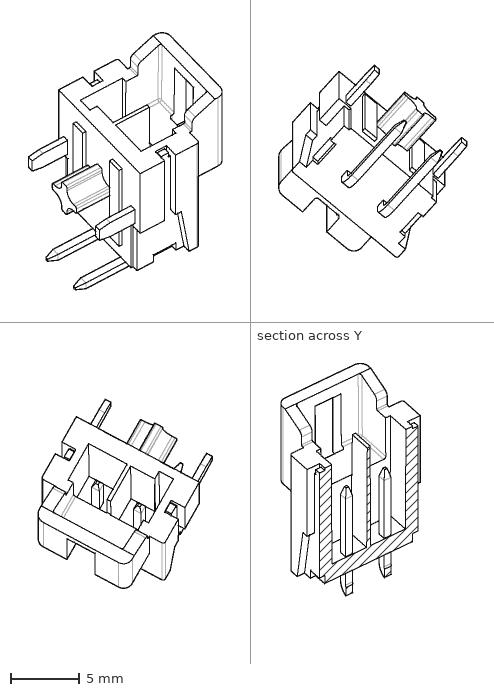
import cadquery as cq
import math

OVERALL_DEPTH = 12.16
OVERALL_HEIGHT = 15.63

BODY_WIDTH = 10.3
BODY_DEPTH = 5.35
BODY_HEIGHT = 11.2
BODY_BACK_FILLET = 0.2

CAVITY_HALF_WIDTH = 3.37
CAVITY_FRONT = 1.36
CAVITY_BACK = 4.49
CAVITY_FLOOR = 1.6
CAVITY_DRAFT_ANGLE = 0.3
DIVIDER_THICKNESS = 0.3
DIVIDER_BACK = 4.41
KEY_WIDTH = 1.2
KEY_FRONT = 0.7

HOOD_BACK = 8.66
HOOD_BOTTOM = 5.93
HOOD_TOP = 13.35
HOOD_HALF_WIDTH = 3.9
HOOD_SIDE_WALL = 0.96
HOOD_BACK_WALL = 1.02
HOOD_CORNER_RADIUS = 0.75
HOOD_INNER_FILLET = 0.19
HOOD_FLOOR = 7.3
HOOD_BACK_DRAFT = 0.07
ARM_FRONT = 5.59
ARM_SHOULDER = 12.39
ARM_FILLET = 0.5
ARM_BASE_FILLET = 0.11
WINDOW_HALF_WIDTH = 1.17
WINDOW_TOP = 12.24
WINDOW_FRONT = 7.12
WINDOW_FILLET = 0.25

CLIP_INNER_X = 4.0
CLIP_THICKNESS = 0.49
GROOVE_FRONT = 2.2
GROOVE_BACK = 3.2
POCKET_TOP = 4.74
POCKET_BACK_TOP = 3.72
POCKET_BACK_BOTTOM = 4.42
CLIP_FRONT = 0.18
CLIP_SHOULDER = 10.5
CLIP_TOP = 10.97
CLIP_TIP_WIDTH = 0.68
CLIP_NOTCH_FRONT = 1.68
CLIP_NOTCH_BACK = 3.7
CLIP_NOTCH_HEIGHT = 0.77
LEG_REACH = 3.2
LEG_TAPER_LENGTH = 0.96
LEG_HEIGHT = 1.5
LEG_TIP_HEIGHT = 1.12

POST_Z = 5.975
POST_REACH = 3.16
POST_RADIUS = 1.53
POST_ARM_HALF_WIDTH = 0.35
POST_FLUTE_CENTER = 1.14
POST_TIP_FILLET = 0.15
RIB_X = 2.29
RIB_WIDTH = 1.2
RIB_BOTTOM = 1.53
RIB_TOP = 9.73
RIB_THICKNESS = 0.29

PIN_X = 1.75
PIN_Y = 2.94
PIN_SIZE = 0.64
PIN_TIP_SIZE = 0.22
PIN_TAPER = 0.8
PIN_TOP = 8.0
PIN_BOTTOM = HOOD_TOP - OVERALL_HEIGHT
PIN_REACH = OVERALL_DEPTH - HOOD_BACK
PIN_BEND_RADIUS = 0.82

SIDES = (-1, 1)


def block(x_range, y_range, z_range):
    """Axis-aligned box spanning the given (low, high) ranges."""
    ranges = (x_range, y_range, z_range)
    size = [high - low for low, high in ranges]
    corner = tuple(low for low, high in ranges)
    return cq.Workplane("XY").box(*size, centered=False).translate(corner)


def side_plate(outline, x_low, x_high):
    """Plate between two X positions with a closed (y, z) outline."""
    profile = cq.Workplane("YZ", origin=(x_low, 0, 0)).polyline(outline).close()
    return profile.extrude(x_high - x_low)


def on_both_sides(solid):
    """The solid together with its mirror image across the X = 0 plane."""
    return solid.union(solid.mirror("YZ"))


def make_body():
    half = BODY_WIDTH / 2
    body = block((-half, half), (0, BODY_DEPTH), (0, BODY_HEIGHT))
    return body.edges("|Z and >Y").fillet(BODY_BACK_FILLET)


def make_hood():
    hood = block(
        (-HOOD_HALF_WIDTH, HOOD_HALF_WIDTH),
        (CAVITY_BACK, HOOD_BACK),
        (HOOD_BOTTOM, HOOD_TOP),
    )
    hood = hood.edges("|Z and >Y").fillet(HOOD_CORNER_RADIUS)

    arm_trim = side_plate(
        [
            (CAVITY_FRONT, BODY_HEIGHT),
            (ARM_FRONT, BODY_HEIGHT),
            (ARM_FRONT, ARM_SHOULDER),
            (HOOD_BACK - HOOD_BACK_WALL, HOOD_TOP),
            (CAVITY_FRONT, HOOD_TOP),
        ],
        -HOOD_HALF_WIDTH,
        HOOD_HALF_WIDTH,
    )
    shoulder = cq.selectors.NearestToPointSelector((0, ARM_FRONT, ARM_SHOULDER))
    base = cq.selectors.NearestToPointSelector((0, ARM_FRONT, BODY_HEIGHT))
    arm_trim = arm_trim.edges(shoulder).fillet(ARM_FILLET).edges(base).fillet(ARM_BASE_FILLET)
    return hood.cut(arm_trim)


def make_hood_opening():
    """Open-topped space between the arms, running forward into the contact cavity."""
    half = HOOD_HALF_WIDTH - HOOD_SIDE_WALL
    back = HOOD_BACK - HOOD_BACK_WALL
    opening = side_plate(
        [
            (DIVIDER_BACK, HOOD_FLOOR),
            (back - HOOD_BACK_DRAFT, HOOD_FLOOR),
            (back, HOOD_TOP),
            (DIVIDER_BACK, HOOD_TOP),
        ],
        -half,
        half,
    )
    back_and_floor_edges = opening.faces("<Z").edges("not <Y").add(opening.faces(">Y").edges("not |X"))
    return back_and_floor_edges.fillet(HOOD_INNER_FILLET)


def make_window():
    window = block(
        (-WINDOW_HALF_WIDTH, WINDOW_HALF_WIDTH),
        (WINDOW_FRONT, HOOD_BACK),
        (HOOD_BOTTOM, WINDOW_TOP),
    )
    return window.edges("|Z and <Y").fillet(WINDOW_FILLET)


def sink_pocket(outline):
    """Drafted cutter sunk from the top of the block to the cavity floor."""
    profile = cq.Workplane("XY", origin=(0, 0, BODY_HEIGHT)).polyline(outline).close()
    return profile.extrude(CAVITY_FLOOR - BODY_HEIGHT, taper=CAVITY_DRAFT_ANGLE)


def make_cavity():
    inner = DIVIDER_THICKNESS / 2
    outer = CAVITY_HALF_WIDTH
    key_inner = outer - KEY_WIDTH
    plain_half = sink_pocket(
        [(inner, CAVITY_FRONT), (outer, CAVITY_FRONT), (outer, CAVITY_BACK), (inner, CAVITY_BACK)]
    )
    keyed_half = sink_pocket(
        [
            (-inner, CAVITY_FRONT),
            (-inner, CAVITY_BACK),
            (-outer, CAVITY_BACK),
            (-outer, KEY_FRONT),
            (-key_inner, KEY_FRONT),
            (-key_inner, CAVITY_FRONT),
        ]
    )
    return plain_half.union(keyed_half)


def make_side_recesses():
    """Upright groove above a slant-backed pocket that is open at the front and bottom."""
    half = BODY_WIDTH / 2
    groove = block((CLIP_INNER_X, half), (GROOVE_FRONT, GROOVE_BACK), (POCKET_TOP, BODY_HEIGHT))
    pocket = side_plate(
        [(0, 0), (POCKET_BACK_BOTTOM, 0), (POCKET_BACK_TOP, POCKET_TOP), (0, POCKET_TOP)],
        CLIP_INNER_X,
        half,
    )
    return on_both_sides(groove.union(pocket))


def make_clips():
    """Pair of notched plates, each with an upright stem and a tapered leg to the front."""
    outer_x = CLIP_INNER_X + CLIP_THICKNESS
    tip_middle = (GROOVE_FRONT + GROOVE_BACK) / 2
    tip_front = tip_middle - CLIP_TIP_WIDTH / 2
    tip_back = tip_middle + CLIP_TIP_WIDTH / 2
    plate = side_plate(
        [
            (CLIP_FRONT, 0),
            (CLIP_NOTCH_FRONT, 0),
            (CLIP_NOTCH_FRONT, CLIP_NOTCH_HEIGHT),
            (CLIP_NOTCH_BACK, CLIP_NOTCH_HEIGHT),
            (CLIP_NOTCH_BACK, 0),
            (POCKET_BACK_BOTTOM, 0),
            (POCKET_BACK_TOP, POCKET_TOP),
            (GROOVE_BACK, POCKET_TOP),
            (GROOVE_BACK, CLIP_SHOULDER),
            (tip_back, CLIP_SHOULDER),
            (tip_back, CLIP_TOP),
            (tip_front, CLIP_TOP),
            (tip_front, CLIP_SHOULDER),
            (GROOVE_FRONT, CLIP_SHOULDER),
            (GROOVE_FRONT, POCKET_TOP),
            (CLIP_FRONT, POCKET_TOP),
        ],
        CLIP_INNER_X,
        outer_x,
    )
    taper_y = LEG_TAPER_LENGTH - LEG_REACH
    leg = side_plate(
        [
            (GROOVE_FRONT, POST_Z - LEG_HEIGHT / 2),
            (taper_y, POST_Z - LEG_HEIGHT / 2),
            (-LEG_REACH, POST_Z - LEG_TIP_HEIGHT / 2),
            (-LEG_REACH, POST_Z + LEG_TIP_HEIGHT / 2),
            (taper_y, POST_Z + LEG_HEIGHT / 2),
            (GROOVE_FRONT, POST_Z + LEG_HEIGHT / 2),
        ],
        CLIP_INNER_X,
        outer_x,
    )
    return on_both_sides(plate.union(leg))


def make_post():
    """Cross-shaped post: four parallel-sided arms joined by a hub with round flutes."""
    front = cq.Workplane("XZ", origin=(0, 0, POST_Z))
    long_arm = 2 * POST_RADIUS
    short_arm = 2 * POST_ARM_HALF_WIDTH
    hub = front.rect(2 * POST_FLUTE_CENTER, 2 * POST_FLUTE_CENTER).extrude(POST_REACH)
    flute_centers = [(sx * POST_FLUTE_CENTER, sz * POST_FLUTE_CENTER) for sx in SIDES for sz in SIDES]
    flute_radius = POST_FLUTE_CENTER - POST_ARM_HALF_WIDTH
    flutes = front.pushPoints(flute_centers).circle(flute_radius).extrude(POST_REACH)
    post = hub.cut(flutes)
    for width, height in ((long_arm, short_arm), (short_arm, long_arm)):
        arm = front.rect(width, height).extrude(POST_REACH)
        post = post.union(arm.edges("|Y").fillet(POST_TIP_FILLET))
    return post


def make_ribs():
    rib = block(
        (RIB_X - RIB_WIDTH / 2, RIB_X + RIB_WIDTH / 2),
        (-RIB_THICKNESS, 0),
        (RIB_BOTTOM, RIB_TOP),
    )
    return on_both_sides(rib)


def pin_tip(base):
    """Square taper rising from the origin of the given workplane."""
    root = base.rect(PIN_SIZE, PIN_SIZE)
    return root.workplane(offset=PIN_TAPER).rect(PIN_TIP_SIZE, PIN_TIP_SIZE).loft()


def make_pins():
    """Pair of contacts bent forward below the block, tapered at both ends."""
    tail_z = PIN_BOTTOM + PIN_SIZE / 2
    upper_end = PIN_TOP - PIN_TAPER
    tail_end = PIN_TAPER - PIN_REACH
    bend_point_offset = PIN_BEND_RADIUS * (1 - math.sqrt(0.5))
    path = (
        cq.Workplane("YZ", origin=(PIN_X, 0, 0))
        .moveTo(PIN_Y, upper_end)
        .lineTo(PIN_Y, tail_z + PIN_BEND_RADIUS)
        .threePointArc(
            (PIN_Y - bend_point_offset, tail_z + bend_point_offset),
            (PIN_Y - PIN_BEND_RADIUS, tail_z),
        )
        .lineTo(tail_end, tail_z)
    )
    upper_plane = cq.Workplane("XY", origin=(PIN_X, PIN_Y, upper_end))
    pin = upper_plane.rect(PIN_SIZE, PIN_SIZE).sweep(path)
    pin = pin.union(pin_tip(upper_plane))
    pin = pin.union(pin_tip(cq.Workplane("XZ", origin=(PIN_X, tail_end, tail_z))))
    return on_both_sides(pin)


housing = make_body().union(make_hood())
for opening in (make_hood_opening(), make_window(), make_cavity(), make_side_recesses()):
    housing = housing.cut(opening)

result = housing
for addition in (make_ribs(), make_post(), make_clips(), make_pins()):
    result = result.union(addition)